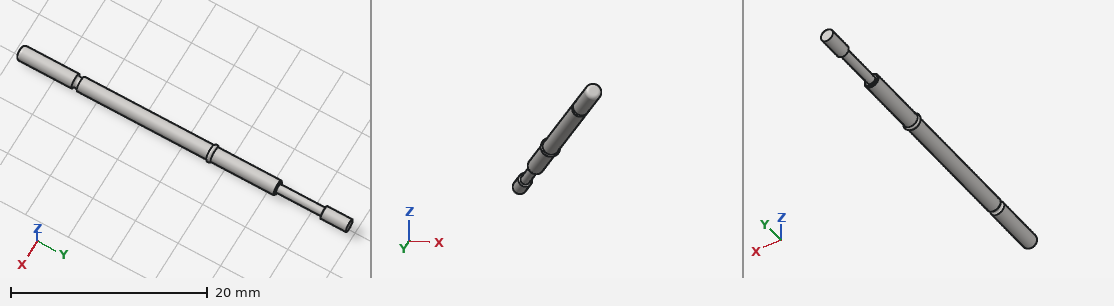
import cadquery as cq

total_length = 38.7
tail_end = -total_length / 2
head_end = total_length / 2

head_radius = 0.75
head_length = 2.98
stem_radius = 0.5
stem_length = 5.35

barrel_radius = 0.85
mouth_chamfer = 0.1
tail_fillet = 0.43

ring_radius = 1.0
ring_width = 0.5
ring_to_head_end = 16.05

groove_depth = 0.25
groove_width = 0.6
groove_to_tail_end = 6.85

stem_end = head_end - head_length
mouth = stem_end - stem_length
ring_center = head_end - ring_to_head_end
groove_center = tail_end + groove_to_tail_end
ring_back = ring_center - ring_width / 2
ring_front = ring_center + ring_width / 2
groove_back = groove_center - groove_width / 2
groove_front = groove_center + groove_width / 2

half_section = (
    cq.Workplane("XY")
    .moveTo(0, tail_end)
    .lineTo(barrel_radius - tail_fillet, tail_end)
    .radiusArc((barrel_radius, tail_end + tail_fillet), -tail_fillet)
    .lineTo(barrel_radius, groove_back)
    .threePointArc((barrel_radius - groove_depth, groove_center), (barrel_radius, groove_front))
    .lineTo(barrel_radius, ring_back)
    .threePointArc((ring_radius, ring_center), (barrel_radius, ring_front))
    .lineTo(barrel_radius, mouth - mouth_chamfer)
    .lineTo(barrel_radius - mouth_chamfer, mouth)
    .lineTo(stem_radius, mouth)
    .lineTo(stem_radius, stem_end)
    .lineTo(head_radius, stem_end)
    .lineTo(head_radius, head_end)
    .lineTo(0, head_end)
    .close()
)

result = half_section.revolve(360, (0, 0, 0), (0, 1, 0))